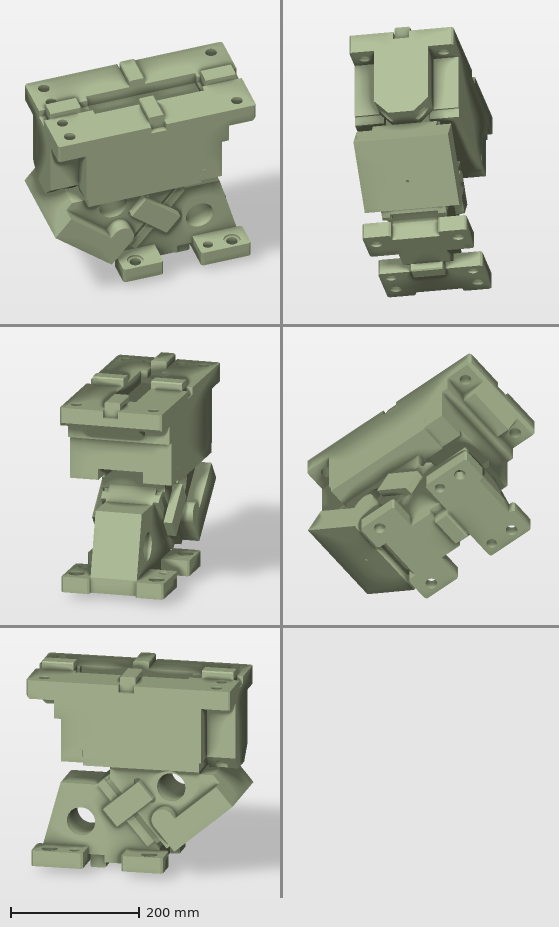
import cadquery as cq
import math


overall_width = 165.0
half_width = overall_width / 2
corner_chamfer = 3.0
key_width = 25.0
key_length = 50.0
key_height = 24.0
key_chamfer = 2.0
slot_depth = key_height / 2
lightening_hole_dia = 45.0
screw_hole_dia = 18.0

slope = math.radians(50.0)
guide_y = 43.7
guide_z = 137.3
guide_length = 125.0
ridge_half_width = 38.0
ridge_height = 15.0

holder_top = 300.0
holder_back = 160.0
holder_front = -165.0
flange_thickness = 30.0
flange_bottom = holder_top - flange_thickness
pocket_width = 45.0
pocket_depth = 20.0
pocket_back = 95.0
pocket_front = -85.0
back_rib_bottom = 253.0
back_rib_end = 115.0
back_chamfer_start = 275.5
back_step_z = 240.5
back_wall = 104.0
rear_foot_z = 172.0
rear_foot_front = 69.0
side_bottom = 167.3
side_front = -116.0
nose_half_width = 42.5
nose_shoulder_z = 182.0
nose_bottom = 160.0
nose_back = -118.5
shoulder_front = -119.5
tongue_slot_half_width = 36.4
tongue_top = 190.0
holder_screw_x = 62.5
holder_screw_ys = (135.0, -140.0)
nose_hole_x = 27.5
nose_hole_y = -140.0
nose_hole_dia = 17.0
nose_counterbore_dia = 20.0
back_key_y = 125.0
front_key_y = -130.0
flank_groove_corner = (68.0, 193.0)
flank_groove_leg = 11.5
flank_groove_upper_width = 0.5
flank_groove_front_width = 1.5
flank_groove_depth = 0.5

slide_half_width = 51.0
slide_top = 165.0
slide_back = 33.2
slide_step_y = -110.0
slide_step_z = 155.2
slide_sole_n = 10.0
slide_end_s = 145.5
tongue_half_width = 34.4
slide_hole = (-64.7, 131.9)
wear_plate_start = 5.1
wear_plate_half_width = 47.0
wear_plate_sole_half_width = 44.5
hook_half_width = 75.0
hook_end_s = 154.8
hook_thickness = 40.3
hook_heel_n = 25.0
hook_front_n = 146.1
hook_lobe_radius = 17.5
hook_lobe_s = 104.6
grease_hole_dia = 5.0
grease_hole_depth = 12.0
grease_hole_n = 72.0
keeper_thickness = 14.0
keeper_start_s = 35.0
keeper_end_s = 70.2
keeper_bottom_n = -26.2
keeper_top_n = 48.3
relief_radius = 6.0
relief_depth = 5.0

foot_height = 25.0
base_half_width = 37.5
base_back = 142.7
base_back_top = 115.0
base_front = -42.8
base_front_slope_n = -3.8
base_hole = (82.3, 64.3)
base_key_y = 57.5
rear_foot = (70.0, 151.8)
front_foot = (-58.0, 8.0)
foot_hole_x = 65.0
foot_screw_ys = (126.0, -33.0)
foot_counterbore_dia = 26.0
foot_counterbore_depth = 3.0
dowel_hole_dia = 16.0
dowel_hole_y = 86.5
guide_upper_depth = 14.0
guide_lower_depth = 19.0
guide_heel_depth = 22.9
guide_heel_start = 95.7
guide_upper_half_width = 47.0
guide_lower_half_width = 38.0


def slope_point(s, n):
    """(Y, Z) of the point at S along the guide and N square to it."""
    y = guide_y - s * math.cos(slope) - n * math.sin(slope)
    z = guide_z - s * math.sin(slope) + n * math.cos(slope)
    return y, z


def box(x_range, y_range, z_range):
    """Box between two limits along each axis."""
    sizes = [high - low for low, high in (x_range, y_range, z_range)]
    return cq.Workplane("XY").box(*sizes, centered=False).translate((x_range[0], y_range[0], z_range[0]))


def centred(half):
    return -half, half


def side_profile(points, half):
    """Outline of (Y, Z) points, extruded to both sides of X = 0."""
    return cq.Workplane("YZ").polyline(points).close().extrude(half, both=True)


def guide_section(s):
    """Workplane across the guide at S, with X and N as its axes."""
    y, z = slope_point(s, 0)
    down_slope = (0, -math.cos(slope), -math.sin(slope))
    return cq.Workplane(cq.Plane(origin=(0, y, z), xDir=(1, 0, 0), normal=down_slope))


def guide_bar(s_range, n_range, half):
    """Rectangular bar lying along the guide."""
    start, end = s_range
    low, high = n_range
    return guide_section(start).center(0, (low + high) / 2).rect(2 * half, high - low).extrude(end - start)


def cross_hole(centre, diameter):
    """Bore along X through every width."""
    return cq.Workplane("YZ").center(*centre).circle(diameter / 2).extrude(half_width, both=True)


def drill(x, y, z_low, z_high, diameter):
    """Vertical hole between two heights."""
    hole = cq.Workplane("XY").workplane(offset=z_low).center(x, y)
    return hole.circle(diameter / 2).extrude(z_high - z_low)


def key_along_y(y, z_low):
    """Key lying along Y at X = 0, its long edges chamfered on top."""
    half = key_length / 2
    bar = box(centred(key_width / 2), (y - half, y + half), (z_low, z_low + key_height))
    return bar.faces(">Z").edges("|Y").chamfer(key_chamfer)


def flank_groove(side):
    """Shallow L-shaped groove in the holder's flank: a thin upper leg and a wider front leg."""
    y, z = flank_groove_corner
    depth_range = sorted((side * half_width, side * (half_width - flank_groove_depth)))
    back = y + flank_groove_leg
    bottom = z - flank_groove_leg
    upper_leg = box(depth_range, (y, back), (z - flank_groove_upper_width, z))
    front_leg = box(depth_range, (y, y + flank_groove_front_width), (bottom, z))
    return upper_leg.union(front_leg)


def make_holder():
    flange = box(centred(half_width), (holder_front, holder_back), (flange_bottom, holder_top))
    flange = flange.edges("|Z").chamfer(corner_chamfer)
    back_chamfer = back_chamfer_start - flange_bottom
    back_cut = [
        (holder_back, back_chamfer_start),
        (holder_back, flange_bottom),
        (holder_back - back_chamfer, flange_bottom),
    ]
    flange = flange.cut(side_profile(back_cut, half_width))

    rib_drop = back_chamfer_start - back_rib_bottom
    back_rib = side_profile(
        [
            (back_rib_end, flange_bottom),
            (holder_back - back_chamfer, flange_bottom),
            (holder_back - rib_drop, back_rib_bottom),
            (back_rib_end, back_rib_bottom),
        ],
        nose_half_width,
    )

    body = side_profile(
        [
            (shoulder_front, flange_bottom),
            (back_rib_end, flange_bottom),
            (back_rib_end, back_step_z),
            (back_wall, back_step_z),
            (back_wall, rear_foot_z),
            (rear_foot_front, rear_foot_z),
            (rear_foot_front, side_bottom),
            (side_front, side_bottom),
            (side_front, nose_shoulder_z),
            (shoulder_front, nose_shoulder_z),
        ],
        half_width,
    )
    tongue_slot = box(centred(tongue_slot_half_width), (nose_back, back_wall), (side_bottom, tongue_top))
    body = body.cut(tongue_slot)

    nose = box(centred(nose_half_width), (holder_front, shoulder_front), (nose_shoulder_z, flange_bottom))
    chamfer_rise = nose_shoulder_z - nose_bottom
    nose_tip = (
        cq.Workplane("XZ", origin=(0, nose_back, 0))
        .moveTo(-nose_half_width, nose_shoulder_z)
        .lineTo(nose_half_width, nose_shoulder_z)
        .lineTo(nose_half_width - chamfer_rise, nose_bottom)
        .lineTo(chamfer_rise - nose_half_width, nose_bottom)
        .close()
        .extrude(nose_back - holder_front)
    )

    holder = flange.union(back_rib).union(body).union(nose).union(nose_tip)

    slot_floor = holder_top - slot_depth
    half_slot = key_width / 2
    slot_heights = (slot_floor, holder_top)
    holder = holder.cut(box(centred(half_slot), (holder_front, holder_back), slot_heights))
    holder = holder.cut(box(centred(half_width), centred(half_slot), slot_heights))
    pocket_heights = (holder_top - pocket_depth, holder_top)
    holder = holder.cut(box(centred(pocket_width / 2), (pocket_front, pocket_back), pocket_heights))

    for y in (back_key_y, front_key_y):
        holder = holder.union(key_along_y(y, slot_floor))
    key_heights = (slot_floor, slot_floor + key_height)
    for side in (-1, 1):
        inner = side * pocket_width / 2
        outer = inner + side * key_length
        cross_key = box(sorted((inner, outer)), centred(half_slot), key_heights)
        holder = holder.union(cross_key.faces(">Z").edges("|X").chamfer(key_chamfer))

        for y in holder_screw_ys:
            holder = holder.cut(drill(side * holder_screw_x, y, flange_bottom, holder_top, screw_hole_dia))
        nose_x = side * nose_hole_x
        holder = holder.cut(drill(nose_x, nose_hole_y, nose_bottom, holder_top, nose_hole_dia))
        holder = holder.cut(drill(nose_x, nose_hole_y, nose_bottom, flange_bottom, nose_counterbore_dia))
        holder = holder.cut(flank_groove(side))
    return holder


def make_hook():
    """Wide L-shaped hook with a round lobe in its inner corner."""
    ledge_s = hook_end_s - hook_thickness
    lobe_n = hook_heel_n + hook_lobe_radius
    lobe_far_n = lobe_n + hook_lobe_radius
    return (
        cq.Workplane("YZ")
        .moveTo(*slope_point(hook_end_s, hook_heel_n))
        .lineTo(*slope_point(hook_end_s, hook_front_n))
        .lineTo(*slope_point(ledge_s, hook_front_n))
        .lineTo(*slope_point(ledge_s, lobe_far_n))
        .lineTo(*slope_point(hook_lobe_s, lobe_far_n))
        .threePointArc(
            slope_point(hook_lobe_s - hook_lobe_radius, lobe_n),
            slope_point(hook_lobe_s, hook_heel_n),
        )
        .close()
        .extrude(hook_half_width, both=True)
    )


def make_keeper(side):
    """Flat keeper plate on the flank of the slide."""
    outline = [
        slope_point(keeper_start_s, keeper_bottom_n),
        slope_point(keeper_end_s, keeper_bottom_n),
        slope_point(keeper_end_s, keeper_top_n),
        slope_point(keeper_start_s, keeper_top_n),
    ]
    flank = cq.Workplane("YZ", origin=(side * slide_half_width, 0, 0))
    return flank.polyline(outline).close().extrude(side * keeper_thickness)


def make_slide():
    sole_s = (guide_y - slide_sole_n * math.sin(slope) - slide_back) / math.cos(slope)
    step_s = (guide_z + hook_front_n * math.cos(slope) - slide_step_z) / math.sin(slope)
    body = side_profile(
        [
            (slide_back, slide_top),
            slope_point(sole_s, slide_sole_n),
            slope_point(slide_end_s, slide_sole_n),
            slope_point(slide_end_s, hook_front_n),
            slope_point(step_s, hook_front_n),
            (slide_step_y, slide_step_z),
            (slide_step_y, slide_top),
        ],
        slide_half_width,
    )
    tongue = box(centred(tongue_half_width), (slide_step_y, slide_back), (slide_top, tongue_top))
    wear_plate = (
        guide_section(wear_plate_start)
        .moveTo(-wear_plate_sole_half_width, 0)
        .lineTo(wear_plate_sole_half_width, 0)
        .lineTo(wear_plate_half_width, slide_sole_n)
        .lineTo(-wear_plate_half_width, slide_sole_n)
        .close()
        .extrude(guide_length)
    )
    slide = body.union(tongue).union(wear_plate).union(make_hook())

    slide = slide.cut(guide_bar((0, slide_end_s), (0, ridge_height), ridge_half_width))
    slide = slide.cut(cross_hole(slide_hole, lightening_hole_dia))
    grease_hole = guide_section(hook_end_s).center(0, grease_hole_n).circle(grease_hole_dia / 2)
    slide = slide.cut(grease_hole.extrude(-grease_hole_depth))

    for side in (-1, 1):
        for s in (keeper_start_s, keeper_end_s):
            relief = (
                cq.Workplane("YZ", origin=(side * slide_half_width, 0, 0))
                .center(*slope_point(s, keeper_top_n - relief_radius))
                .circle(relief_radius)
                .extrude(-side * relief_depth)
            )
            slide = slide.cut(relief)
        slide = slide.union(make_keeper(side))
    return slide


def make_foot(side, y_range, overhang):
    """Foot chamfered at its outer corners and at the corner that overhangs the body's end."""
    foot = box(sorted((side * base_half_width, side * half_width)), y_range, (0, foot_height))
    outer_side = ">X" if side > 0 else "<X"
    return foot.edges(f"|Z and ({outer_side} or {overhang})").chamfer(corner_chamfer)


def make_base():
    front_slope_s = (guide_y - base_front_slope_n * math.sin(slope) - base_front) / math.cos(slope)
    base = side_profile(
        [
            (base_back, 0),
            (base_back, foot_height),
            (base_back_top, slope_point(0, -guide_lower_depth)[1]),
            slope_point(0, -guide_lower_depth),
            slope_point(0, base_front_slope_n),
            slope_point(front_slope_s, base_front_slope_n),
            (base_front, 0),
        ],
        base_half_width,
    )

    whole = (0, guide_length)
    heel = (guide_heel_start, guide_length)
    base = base.union(guide_bar(whole, (-guide_upper_depth, 0), guide_upper_half_width))
    base = base.union(guide_bar(whole, (-guide_lower_depth, -guide_upper_depth), guide_lower_half_width))
    base = base.union(guide_bar(heel, (-guide_heel_depth, -guide_lower_depth), guide_lower_half_width))
    base = base.union(guide_bar(whole, (0, ridge_height), ridge_half_width))

    for side in (-1, 1):
        hole_x = side * foot_hole_x
        base = base.union(make_foot(side, rear_foot, ">Y"))
        base = base.union(make_foot(side, front_foot, "<Y"))
        for y in foot_screw_ys:
            base = base.cut(drill(hole_x, y, 0, foot_height, screw_hole_dia))
            counterbore_floor = foot_height - foot_counterbore_depth
            base = base.cut(drill(hole_x, y, counterbore_floor, foot_height, foot_counterbore_dia))
        base = base.cut(drill(hole_x, dowel_hole_y, 0, foot_height, dowel_hole_dia))

    base = base.cut(cross_hole(base_hole, lightening_hole_dia))
    key_slot_y = (base_key_y - key_width / 2, base_key_y + key_width / 2)
    base = base.cut(box(centred(half_width), key_slot_y, (0, slot_depth)))
    key = box(centred(key_length / 2), key_slot_y, (slot_depth - key_height, slot_depth))
    return base.union(key.faces("<Z").edges("|X").chamfer(key_chamfer))


holder = make_holder()
slide = make_slide()
base = make_base()

result = cq.Compound.makeCompound([holder.solids().val(), slide.solids().val(), base.solids().val()])